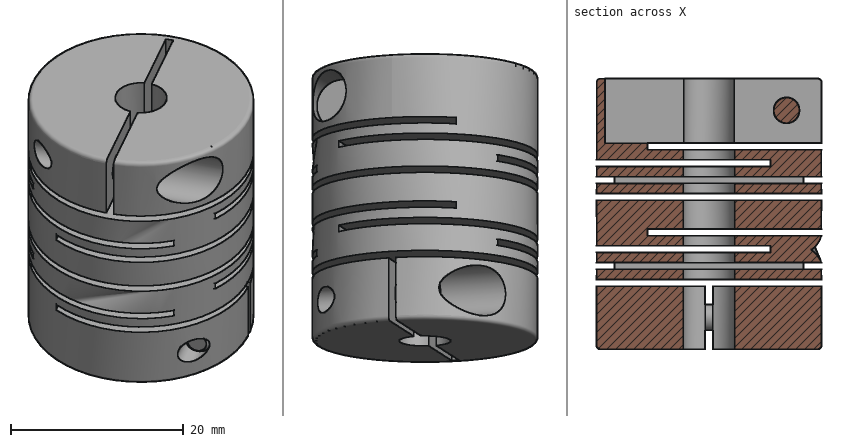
import cadquery as cq

length = 31.5
outer_diameter = 26.2
bore_diameter = 6.0
rim_fillet = 0.5

slot_height = 0.75
slot_pitch = 1.95
slot_group_pitch = 10.0
slot_group_count = 2
hub_length = 7.53
bridge_offset = 7.12
bridge_angles = (90, -90, 0, 180)

slit_width = 0.88
slit_far_end = 12.05
screw_diameter = 3.02
screw_offset = 9.0
screw_to_end = 3.72
counterbore_diameter = 5.92
counterbore_floor = 3.78
screw_tip_position = 7.88
screw_tip_chamfer = 0.38

outer_radius = outer_diameter / 2
clear = outer_diameter


def make_body():
    """Round bar with filleted rims and a central through bore."""
    bar = cq.Workplane("XY").circle(outer_radius).extrude(length)
    bar = bar.faces("<Z or >Z").edges().fillet(rim_fillet)
    bore = cq.Workplane("XY").circle(bore_diameter / 2).extrude(length)
    return bar.cut(bore)


def make_slot(top, bridge_angle):
    """Cutter for one slot, leaving the segment that faces bridge_angle."""
    cutter = cq.Workplane("XY").box(
        bridge_offset + clear, 2 * clear, slot_height, centered=(False, True, False)
    )
    cutter = cutter.translate((-clear, 0, top - slot_height))
    return cutter.rotate((0, 0, 0), (0, 0, 1), bridge_angle)


def along_x(diameter, start, end):
    """Cylinder on the top clamp screw axis, between two X positions."""
    plane = cq.Workplane("YZ", origin=(start, -screw_offset, length - screw_to_end))
    return plane.circle(diameter / 2).extrude(end - start)


def make_clamp_cutter():
    """Slit open towards -Y, with the screw hole and its +X counterbore."""
    slit = cq.Workplane("XY").box(
        slit_width, clear + slit_far_end, hub_length, centered=(True, False, False)
    )
    slit = slit.translate((0, -clear, length - hub_length))
    hole = along_x(screw_diameter, -clear, counterbore_floor)
    counterbore = along_x(counterbore_diameter, counterbore_floor, clear)
    return slit.union(hole).union(counterbore)


def make_screw():
    """Screw shank filling its hole, with a chamfered tip on the -X side."""
    shank = along_x(screw_diameter, -screw_tip_position, counterbore_floor)
    return shank.faces("<X").chamfer(screw_tip_chamfer)


def to_bottom_end(shape):
    """Mirror a top clamp shape to the bottom end and turn it a quarter turn."""
    flipped = shape.mirror("XY", (0, 0, length / 2))
    return flipped.rotate((0, 0, 0), (0, 0, 1), 90)


result = make_body()

for group in range(slot_group_count):
    group_top = length - hub_length - group * slot_group_pitch
    for index, angle in enumerate(bridge_angles):
        result = result.cut(make_slot(group_top - index * slot_pitch, angle))

clamp_cutter = make_clamp_cutter()
screw = make_screw()
result = result.cut(clamp_cutter).cut(to_bottom_end(clamp_cutter))
result = result.union(screw).union(to_bottom_end(screw))